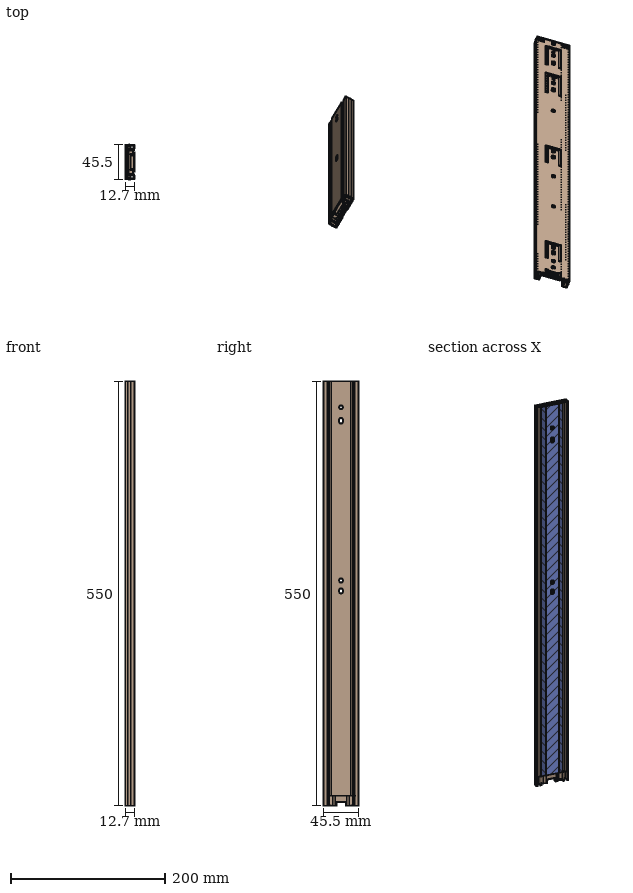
import cadquery as cq


LENGTH = 550.0
WIDTH = 45.46
DEPTH = 12.7

OUTER_WALL = 1.5
OUTER_DEPTH = 12.15
CROWN_HEIGHT = 0.4
CROWN_START = 3.7
CROWN_END = 7.2
OUTER_LIP = 4.5
OUTER_CORNER = 0.8
FLANGE_Y = WIDTH / 2 - CROWN_HEIGHT

MIDDLE_WALL = 1.5
MIDDLE_BACK = 1.7
MIDDLE_RAISED_BACK = 3.1
MIDDLE_FRONT = 11.8
MIDDLE_HALF_WIDTH = 17.0
RAISED_HALF_WIDTH = 7.2
RAMP_WIDTH = 3.6

INNER_WALL = 1.5
INNER_BOTTOM = 13.0
INNER_BACK = 7.2
INNER_LIP_HALF_WIDTH = 12.6
INNER_CAVITY_HALF_WIDTH = 8.4

RETAINER_GAP = 0.3
STRIP_BACK = 3.2
STRIP_FRONT = 7.2
INNER_RETAINER_FRONT = 10.5

TAB_LEG_INNER = 7.4
TAB_LEG_OUTER = 10.7
TABS = [
    (491.5, 534.0, 531.0, 534.0),
    (426.5, 471.3, 466.6, 471.3),
    (262.8, 300.8, 297.4, 300.8),
    (39.0, 76.8, 73.7, 76.8),
    (2.4, 11.0, 6.0, 9.0),
]

HOLE_DIAMETER = 4.6
OUTER_HOLES = [
    (544.0, 5.0), (452.0, 5.2), (436.2, 7.0), (387.0, 4.6), (233.6, 5.0), (163.2, 4.6),
    (67.3, 6.6), (54.4, 7.4), (35.2, 5.0), (20.2, 5.0),
]
THROUGH_HOLES = [(516.2, 4.6), (498.8, 7.4), (292.0, 5.2), (278.4, 6.4)]
PILOT_DIAMETER = 3.4
PILOT_HOLES = [524.5, 460.6]

END_NOTCH_HALF_WIDTH = 5.8
END_NOTCH_HEIGHT = 5.0
END_RELIEF_Y = (13.3, 14.9)
END_RELIEF_HEIGHT = 0.8
STOP_SLOT_Y = (12.4, 20.5)
STOP_SLOT_Z = (542.6, 546.0)


def box(x_range, y_range, z_range):
    """Solid box between the given limits."""
    size = [high - low for low, high in (x_range, y_range, z_range)]
    corner = (x_range[0], y_range[0], z_range[0])
    return cq.Workplane("XY").box(*size, centered=False).translate(corner)


def both_sides(y_range):
    """The given Y limits and their mirror image."""
    low, high = y_range
    return [(low, high), (-high, -low)]


def slots(holes, diameter, x_range):
    """Cutters along X for holes on the centre line, stretched along Z to their length."""
    cutters = cq.Workplane("YZ", origin=(x_range[0], 0, 0))
    for height, length in holes:
        cutters = cutters.moveTo(0, height)
        if length > diameter:
            cutters = cutters.slot2D(length, diameter, 90)
        else:
            cutters = cutters.circle(diameter / 2)
    return cutters.extrude(x_range[1] - x_range[0])


def through_holes():
    """Cutters for the screw holes that pass through every body on the centre line."""
    return slots(THROUGH_HOLES, HOLE_DIAMETER, (0, DEPTH))


def end_notch():
    """Cutter for the bottom end of the outer and middle webs: a notch and two small reliefs."""
    web = (0, MIDDLE_RAISED_BACK + MIDDLE_WALL)
    notch_y = (-END_NOTCH_HALF_WIDTH, END_NOTCH_HALF_WIDTH)
    cutter = box(web, notch_y, (0, END_NOTCH_HEIGHT))
    for y_range in both_sides(END_RELIEF_Y):
        cutter = cutter.add(box(web, y_range, (0, END_RELIEF_HEIGHT)))
    return cutter.combine()


def extrude_outline(half, bottom):
    """Extrude a closed outline, given by its +Y half, up to the top end."""
    mirrored = [(x, -y) for x, y in reversed(half)]
    outline = cq.Workplane("XY", origin=(0, 0, bottom)).polyline(half + mirrored).close()
    return outline.extrude(LENGTH - bottom)


def plain_outer_channel():
    """C-shaped outer channel with crowned flanges, before the web is cut."""
    inside = FLANGE_Y - OUTER_WALL
    lip_end = FLANGE_Y - OUTER_LIP
    half = [
        (0, FLANGE_Y),
        (OUTER_DEPTH, FLANGE_Y),
        (OUTER_DEPTH, lip_end),
        (OUTER_DEPTH - OUTER_WALL, lip_end),
        (OUTER_DEPTH - OUTER_WALL, inside),
        (OUTER_WALL, inside),
    ]
    channel = extrude_outline(half, 0)
    channel = channel.edges("|Z").edges(">Y or <Y").fillet(OUTER_CORNER)
    for side in (1, -1):
        crown = (
            cq.Workplane("XY")
            .moveTo(CROWN_START, side * FLANGE_Y)
            .threePointArc(
                ((CROWN_START + CROWN_END) / 2, side * WIDTH / 2),
                (CROWN_END, side * FLANGE_Y),
            )
            .close()
            .extrude(LENGTH)
        )
        channel = channel.union(crown)
    return channel


def make_outer_channel():
    web = (0, OUTER_WALL)
    channel = plain_outer_channel()
    for leg_bottom, leg_top, bar_bottom, bar_top in TABS:
        for y_range in both_sides((TAB_LEG_INNER, TAB_LEG_OUTER)):
            channel = channel.cut(box(web, y_range, (leg_bottom, leg_top)))
        channel = channel.cut(box(web, (-TAB_LEG_OUTER, TAB_LEG_OUTER), (bar_bottom, bar_top)))
    channel = channel.cut(slots(OUTER_HOLES, HOLE_DIAMETER, web)).cut(through_holes())
    channel = channel.cut(slots([(z, PILOT_DIAMETER) for z in PILOT_HOLES], PILOT_DIAMETER, web))
    for y_range in both_sides(STOP_SLOT_Y):
        channel = channel.cut(box(web, y_range, STOP_SLOT_Z))
    return channel.cut(end_notch())


def make_middle_channel():
    ramp_end = RAISED_HALF_WIDTH + RAMP_WIDTH
    inside = MIDDLE_HALF_WIDTH - MIDDLE_WALL
    half = [
        (MIDDLE_RAISED_BACK, RAISED_HALF_WIDTH),
        (MIDDLE_BACK, ramp_end),
        (MIDDLE_BACK, MIDDLE_HALF_WIDTH),
        (MIDDLE_FRONT, MIDDLE_HALF_WIDTH),
        (MIDDLE_FRONT, inside),
        (MIDDLE_BACK + MIDDLE_WALL, inside),
        (MIDDLE_BACK + MIDDLE_WALL, ramp_end),
        (MIDDLE_RAISED_BACK + MIDDLE_WALL, RAISED_HALF_WIDTH),
    ]
    channel = extrude_outline(half, 0)
    channel = channel.cut(through_holes())
    return channel.cut(end_notch())


def make_inner_channel():
    wall_outside = INNER_CAVITY_HALF_WIDTH + INNER_WALL
    half = [
        (INNER_BACK, wall_outside),
        (DEPTH - INNER_WALL, wall_outside),
        (DEPTH - INNER_WALL, INNER_LIP_HALF_WIDTH),
        (DEPTH, INNER_LIP_HALF_WIDTH),
    ]
    hat = extrude_outline(half, INNER_BOTTOM)
    cavity_y = (-INNER_CAVITY_HALF_WIDTH, INNER_CAVITY_HALF_WIDTH)
    cavity = box((INNER_BACK, DEPTH - INNER_WALL), cavity_y, (INNER_BOTTOM, LENGTH))
    return hat.cut(cavity).cut(through_holes())


def make_outer_retainer_strips():
    """Two separate strips, between the flanges of the outer and middle channels."""
    y_range = (MIDDLE_HALF_WIDTH + RETAINER_GAP, FLANGE_Y - OUTER_WALL - RETAINER_GAP)
    strips = []
    for side in both_sides(y_range):
        strips.append(box((STRIP_BACK, STRIP_FRONT), side, (INNER_BOTTOM, LENGTH)).val())
    return strips


def make_inner_retainer():
    """One U-shaped retainer, resting on the middle web and reaching around the inner channel."""
    leg_inside = INNER_CAVITY_HALF_WIDTH + INNER_WALL + RETAINER_GAP
    leg_outside = MIDDLE_HALF_WIDTH - MIDDLE_WALL - RETAINER_GAP
    back = MIDDLE_RAISED_BACK + MIDDLE_WALL
    half = [
        (back, leg_outside),
        (INNER_RETAINER_FRONT, leg_outside),
        (INNER_RETAINER_FRONT, leg_inside),
        (INNER_BACK, leg_inside),
    ]
    return extrude_outline(half, INNER_BOTTOM).cut(through_holes())


def make_slide_core():
    """Bar filling the cavity of the inner channel."""
    half = INNER_CAVITY_HALF_WIDTH
    core = box((INNER_BACK, DEPTH - INNER_WALL), (-half, half), (INNER_BOTTOM, LENGTH))
    return core.cut(through_holes())


outer_channel = make_outer_channel()
middle_channel = make_middle_channel()
inner_channel = make_inner_channel()
outer_retainer_strips = make_outer_retainer_strips()
inner_retainer = make_inner_retainer()
slide_core = make_slide_core()

result = cq.Compound.makeCompound(
    [
        outer_channel.val(),
        middle_channel.val(),
        inner_channel.val(),
        *outer_retainer_strips,
        inner_retainer.val(),
        slide_core.val(),
    ]
)